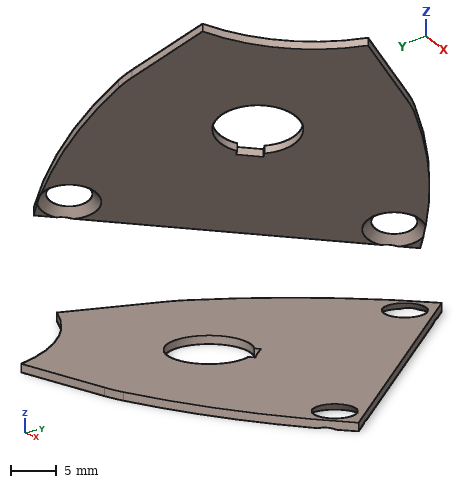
import cadquery as cq
import math

overall = 50.3
thickness = 1.0
tip_reach = 30.35
foot_offset = 7.0
shoulder_reach = 16.45
shoulder_offset = 6.1
shoulder_radius = 17.1
side_radius = 74.95
scallop_depth = 17.05
bore_radius = 5.0
key_width = 3.0
key_reach = 5.5
corner_hole_radius = 2.5
countersink_slope = 45.0
corner_hole_reach = 25.5
symmetry_angle = 45.0

foot_reach = overall - tip_reach
scallop_middle = -scallop_depth / math.sqrt(2)


def bulge_middle(start, end, radius):
    """Midpoint of a minor arc bulging to the right of the line from start to end."""
    dx = end[0] - start[0]
    dy = end[1] - start[1]
    chord = math.hypot(dx, dy)
    rise = radius - math.sqrt(radius**2 - (chord / 2) ** 2)
    return (
        (start[0] + end[0]) / 2 + rise * dy / chord,
        (start[1] + end[1]) / 2 - rise * dx / chord,
    )


def make_plate():
    upper_tip = (0, tip_reach)
    right_tip = (tip_reach, 0)
    left_shoulder = (-shoulder_reach, shoulder_offset)
    lower_shoulder = (shoulder_offset, -shoulder_reach)
    left_foot = (-foot_reach, -foot_offset)
    lower_foot = (-foot_offset, -foot_reach)
    plate = (
        cq.Workplane("XY")
        .moveTo(*upper_tip)
        .threePointArc(bulge_middle(upper_tip, left_shoulder, side_radius), left_shoulder)
        .lineTo(*left_foot)
        .threePointArc((scallop_middle, scallop_middle), lower_foot)
        .lineTo(*lower_shoulder)
        .threePointArc(bulge_middle(lower_shoulder, right_tip, side_radius), right_tip)
        .close()
        .extrude(thickness)
    )
    for x, y in (left_shoulder, lower_shoulder):
        plate = plate.edges(cq.NearestToPointSelector((x, y, thickness / 2))).fillet(shoulder_radius)
    return plate


def make_keyed_bore():
    bore = cq.Workplane("XY").circle(bore_radius).extrude(thickness)
    keyway = (
        cq.Workplane("XY")
        .rect(key_reach, key_width)
        .extrude(thickness)
        .translate((key_reach / 2, 0, 0))
        .rotate((0, 0, 0), (0, 0, 1), symmetry_angle)
    )
    return bore.union(keyway)


def make_countersunk_hole(x, y):
    """Conical hole, widest at the underside."""
    return (
        cq.Workplane("XY")
        .center(x, y)
        .circle(corner_hole_radius + thickness * math.tan(math.radians(countersink_slope)))
        .extrude(thickness, taper=countersink_slope)
    )


result = make_plate().cut(make_keyed_bore())
for hole_x, hole_y in ((0, corner_hole_reach), (corner_hole_reach, 0)):
    result = result.cut(make_countersunk_hole(hole_x, hole_y))